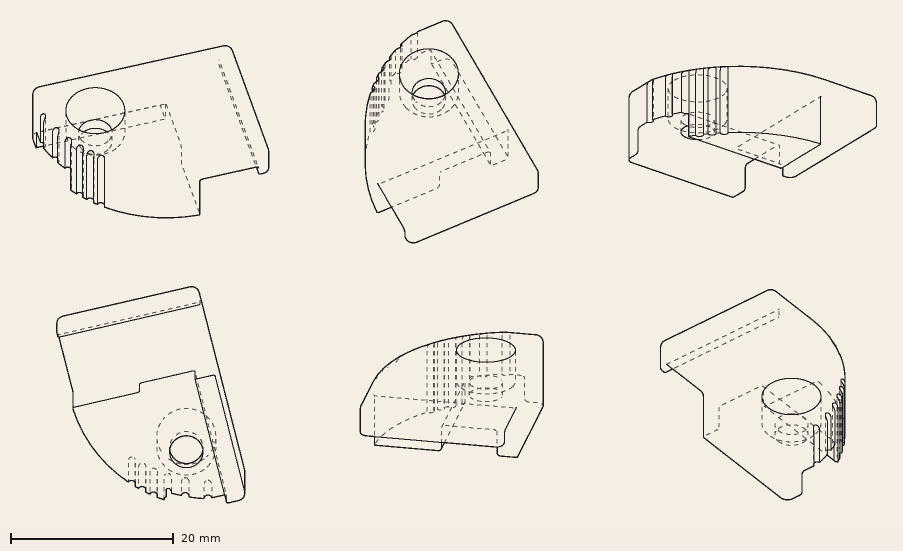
import cadquery as cq
import math

WIDTH = 18.0
LENGTH = 25.5
HEIGHT = 9.5
EDGE_RADIUS = 1.0

ARC_RADIUS = WIDTH
ARC_CENTER_Y = 17.31
ARC_CENTER_X = WIDTH - ARC_RADIUS

HOLE_X = 6.02
HOLE_Y = 6.53
HOLE_DIAMETER = 4.1
BORE_DIAMETER = 7.25
BORE_DEPTH = 4.34
BORE_FLOOR_RADIUS = 0.18

CHANNEL_WIDTH = 6.99
CHANNEL_HEIGHT = 3.5
CHANNEL_RADIUS = 0.4

BLOCK_BACK_Y = 16.5
LIP_THICKNESS = 1.5
LIP_BOTTOM_Z = 5.25
PLATE_BOTTOM_Z = 6.8
UNDERCUT_RADIUS = 0.4
UNDERCUT_EDGE_RADIUS = 0.2

GROOVE_RADIUS = 0.48
GROOVE_ANGLES = [15.7, 24.7, 31.8, 37.7, 42.7, 47.5]

SELECT_MARGIN = 0.03


def select_box(low, high):
    """Selector for items centred between two corners, within the margin."""
    return cq.selectors.BoxSelector(
        [value - SELECT_MARGIN for value in low],
        [value + SELECT_MARGIN for value in high],
    )


def arc_point(angle):
    """Point on the curved corner at an angle in degrees from -Y toward +X."""
    turn = math.radians(angle)
    return (
        ARC_CENTER_X + ARC_RADIUS * math.sin(turn),
        ARC_CENTER_Y - ARC_RADIUS * math.cos(turn),
    )


def make_block():
    start_angle = math.degrees(math.acos(ARC_CENTER_Y / ARC_RADIUS))
    middle_angle = (start_angle + 90) / 2
    block = (
        cq.Workplane("XY")
        .lineTo(arc_point(start_angle)[0], 0)
        .threePointArc(arc_point(middle_angle), (WIDTH, ARC_CENTER_Y))
        .lineTo(WIDTH, LENGTH)
        .lineTo(0, LENGTH)
        .close()
        .extrude(HEIGHT)
    )
    left_corners = select_box((0, 0, 0), (0, LENGTH, HEIGHT))
    back_right_corner = select_box((WIDTH, LENGTH, 0), (WIDTH, LENGTH, HEIGHT))
    block = block.edges("|Z").edges(left_corners + back_right_corner).fillet(EDGE_RADIUS)
    return block.faces(">Z").edges().fillet(EDGE_RADIUS)


def cut_undercut(body):
    lip_front_y = LENGTH - LIP_THICKNESS
    undercut = (
        cq.Workplane("YZ")
        .moveTo(BLOCK_BACK_Y, 0)
        .lineTo(BLOCK_BACK_Y, PLATE_BOTTOM_Z - UNDERCUT_RADIUS)
        .radiusArc((BLOCK_BACK_Y + UNDERCUT_RADIUS, PLATE_BOTTOM_Z), UNDERCUT_RADIUS)
        .lineTo(lip_front_y - UNDERCUT_RADIUS, PLATE_BOTTOM_Z)
        .radiusArc((lip_front_y, PLATE_BOTTOM_Z - UNDERCUT_RADIUS), UNDERCUT_RADIUS)
        .lineTo(lip_front_y, LIP_BOTTOM_Z)
        .lineTo(LENGTH, LIP_BOTTOM_Z)
        .lineTo(LENGTH, 0)
        .close()
        .extrude(WIDTH)
    )
    body = body.cut(undercut)
    lip_bottom = select_box((0, lip_front_y, LIP_BOTTOM_Z), (WIDTH, LENGTH, LIP_BOTTOM_Z))
    rounded_edges = body.faces(lip_bottom).edges().vals()
    for side_x in (0, WIDTH):
        rim = select_box((side_x, BLOCK_BACK_Y, 0), (side_x, lip_front_y, PLATE_BOTTOM_Z))
        rounded_edges += body.edges(rim).vals()
    return body.newObject(rounded_edges).fillet(UNDERCUT_EDGE_RADIUS)


def cut_channel(body):
    channel = (
        cq.Workplane("XY")
        .box(CHANNEL_WIDTH, LENGTH, CHANNEL_HEIGHT, centered=(True, False, False))
        .edges("|Y and >Z")
        .fillet(CHANNEL_RADIUS)
        .translate((HOLE_X, 0, 0))
    )
    body = body.cut(channel)
    half_width = CHANNEL_WIDTH / 2
    mouth = select_box((HOLE_X - half_width, 0, 0), (HOLE_X + half_width, LENGTH, 0))
    return body.edges("|Y").edges(mouth).fillet(CHANNEL_RADIUS)


def cut_hole(body):
    hole = cq.Workplane("XY").circle(HOLE_DIAMETER / 2).extrude(HEIGHT)
    bore = (
        cq.Workplane("XY", origin=(0, 0, HEIGHT - BORE_DEPTH))
        .circle(BORE_DIAMETER / 2)
        .extrude(BORE_DEPTH)
        .faces("<Z")
        .edges()
        .fillet(BORE_FLOOR_RADIUS)
    )
    return body.cut(hole.union(bore).translate((HOLE_X, HOLE_Y, 0)))


def cut_grooves(body):
    centers = [arc_point(angle) for angle in GROOVE_ANGLES]
    grooves = cq.Workplane("XY").pushPoints(centers).circle(GROOVE_RADIUS).extrude(HEIGHT)
    return body.cut(grooves)


result = make_block()
result = cut_undercut(result)
result = cut_channel(result)
result = cut_hole(result)
result = cut_grooves(result)